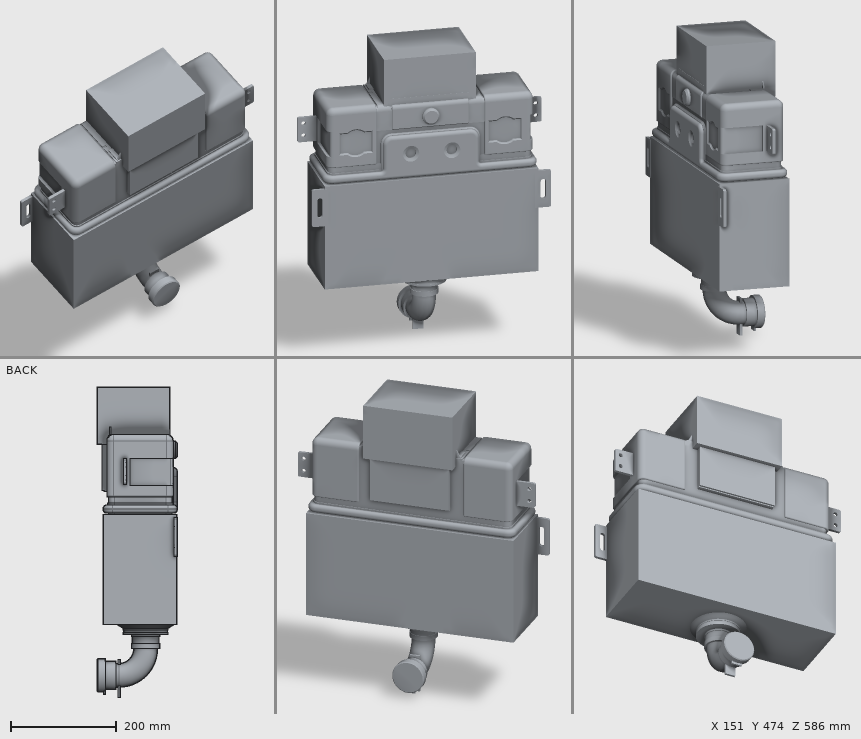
import cadquery as cq


top_z = 586.0
overall_width = 474.0
tank_bottom_z = 138.0
tank_top_z = 346.0
rim_bottom_z = 348.0
rim_top_z = 364.0
head_bottom_z = 378.5
head_top_z = 497.0

tank_back_x = 140.0
tank_front_x = 0.5
tank_half_width = 207.5
rim_corner_radius = 17.5
rim_edge_radius = 7.0

core_front_x = 10.0
core_back_x = 130.0
core_half_width = 197.0
core_corner_radius = 12.0
core_top_z = 445.5
collar_offset = 2.0
collar_top_z = 367.5
recess_front_x = 12.0

head_front_x = 7.5
head_back_x = 133.0
head_outer_y = 200.5
head_inner_y = 105.0
head_radius = 12.5
head_edge_radius = 2.5

bridge_front_x = 7.5
bridge_half_width = 75.0
bridge_top_z = 494.5
bridge_radius = 9.0
bridge_edge_chamfer = 2.0
shoulder_setback = 2.5
shoulder_half_width = 101.5
seam_half_width = 108.0
seam_drop = 2.5
notch_x = 87.0
notch_width = 4.5
notch_length = 7.0
notch_depth = 2.0

box_front_x = 14.0
box_back_x = 151.0
box_half_width = 89.0
box_bottom_z = 478.0
sill_thickness = 0.5
sill_half_width = 78.5
sill_top_z = 506.5
gusset_x = 125.0
gusset_thickness = 3.0
gusset_reach = 7.0
gusset_height = 13.5
gusset_pad_front_x = 99.5
gusset_pad_half_width = 98.0
back_panel_x = 142.5
back_spacer_x = 138.5
back_panel_inset = 2.0
back_panel_bottom_z = 389.0
back_panel_half_width = 78.5

plate_half_width = 92.5
plate_top_z = 434.0
plate_corner_radius = 16.5
backing_front_x = 7.0
backing_margin = 3.5
backing_chamfer = 2.5
plate_foot_radius = 6.0
plate_back_x = 17.5
port_y = 40.0
port_z = 397.5
port_outer_diameter = 31.5
port_diameter = 20.0
port_depth = 7.0
port_sink_depth = 3.0

button_z = 467.5
button_diameter = 33.0
button_chamfer = 3.5

window_y = 145.0
window_z = 425.5
window_width = 65.5
window_height = 44.5
window_bulge_width = 33.5
window_bulge = 6.0
window_depth = 3.0
window_draft = 45

pocket_floor_y = 194.5
pocket_edge_radius = 4.5
pocket_end_x = 89.5
pocket_bottom_z = 401.0
pocket_top_z = 452.0
side_bracket_front_x = 96.0
side_bracket_thickness = 6.0
side_bracket_end_y = overall_width / 2
side_bracket_root_y = 190.0
side_bracket_bottom_z = 402.0
side_bracket_height = 50.0
side_bracket_corner = 3.5
side_hole_y = 225.5
side_hole_z = (415.0, 439.5)
side_hole_diameter = 8.0

tank_bracket_thickness = 6.0
tank_bracket_inner_y = 200.5
tank_bracket_end_y = 232.0
tank_bracket_bottom_z = 266.0
tank_bracket_top_z = 340.5
tank_bracket_corner = 3.5
slot_y = 217.0
slot_length = 40.0
slot_width = 10.0

drain_x = 60.0
drain_cone_diameter = 107.0
drain_ring_diameter = 85.0
drain_cone_bottom_z = 130.5
drain_ring_bottom_z = 119.0
drain_groove_diameter = 83.0
drain_groove_top_z = 128.0
drain_groove_bottom_z = 123.0
drain_lip_diameter = 54.0
drain_lip_bottom_z = 115.5
drain_collar_diameter = 51.0
drain_band_top_z = 102.0
drain_collar_bottom_z = 92.5
pipe_diameter = 45.0
bend_radius = 50.5
outlet_collar_diameter = 54.0
outlet_collar_x = 116.0
outlet_ring_diameter = 63.0
outlet_ring_x = 136.0
outlet_ring_chamfer = 2.0
outlet_tab_thickness = 3.5
outlet_tab_bottom_z = 6.5
outlet_end_x = box_back_x
clip_front_x = 107.0
clip_thickness = 4.5
clip_width = 20.5
clip_top_z = 72.0


def block(x0, x1, y0, y1, z0, z1):
    """Box between two opposite corners."""
    return cq.Workplane("XY").box(x1 - x0, y1 - y0, z1 - z0, centered=False).translate((x0, y0, z0))


def wide_block(x0, x1, half_width, z0, z1):
    """Box symmetric about Y = 0."""
    return block(x0, x1, -half_width, half_width, z0, z1)


def front_plane(x):
    """Sketch plane facing +X: sketch axes are Y and Z."""
    return cq.Workplane("YZ", origin=(x, 0, 0))


def disc(diameter, z_top, z_bottom):
    """Upright cylinder on the drain axis."""
    plane = cq.Workplane("XY", origin=(drain_x, 0, z_bottom))
    return plane.circle(diameter / 2).extrude(z_top - z_bottom)


def both_sides(solid):
    return solid.union(solid.mirror("XZ"))


def make_tank():
    return wide_block(tank_front_x, tank_back_x, tank_half_width, tank_bottom_z, tank_top_z)


def make_rim():
    """Rounded rim with the front plate rising from its middle on a wider backing."""
    rim = wide_block(0, tank_back_x, tank_half_width, rim_bottom_z, rim_top_z)
    rim = rim.edges("|Z").fillet(rim_corner_radius)
    plate = wide_block(0, plate_back_x, plate_half_width, rim_bottom_z, plate_top_z)
    plate = plate.edges("|X and >Z").fillet(plate_corner_radius)
    rim = rim.union(plate)
    for side in (-1, 1):
        foot = cq.selectors.NearestToPointSelector(
            (plate_back_x / 2, side * plate_half_width, rim_top_z)
        )
        rim = rim.edges("|X").edges(foot).fillet(plate_foot_radius)
    rim = rim.faces("<X").edges().fillet(rim_edge_radius)
    backing = wide_block(
        backing_front_x, plate_back_x, plate_half_width + backing_margin,
        rim_bottom_z, plate_top_z + backing_margin,
    )
    backing = backing.edges("|X and >Z").fillet(plate_corner_radius + backing_margin)
    backing = backing.faces("<X").edges("not <Z").chamfer(backing_chamfer)
    return rim.union(backing)


def make_core():
    core = wide_block(core_front_x, core_back_x, core_half_width, tank_top_z, head_bottom_z)
    core = core.edges("|Z").fillet(core_corner_radius)
    collar = wide_block(
        core_front_x - collar_offset, core_back_x + collar_offset, core_half_width + collar_offset,
        rim_bottom_z, collar_top_z,
    )
    collar = collar.edges("|Z").fillet(core_corner_radius + collar_offset)
    recess_wall = wide_block(recess_front_x, core_back_x, head_inner_y, tank_top_z, core_top_z)
    return core.union(collar).union(recess_wall)


def make_window():
    """Rectangle whose top and bottom sides bulge in the middle."""
    half_width = window_width / 2
    half_height = window_height / 2
    half_bulge = window_bulge_width / 2
    outline = (
        front_plane(head_front_x)
        .center(window_y, window_z)
        .moveTo(-half_width, -half_height)
        .lineTo(-half_bulge, -half_height)
        .threePointArc((0, -half_height - window_bulge), (half_bulge, -half_height))
        .lineTo(half_width, -half_height)
        .lineTo(half_width, half_height)
        .lineTo(half_bulge, half_height)
        .threePointArc((0, half_height + window_bulge), (-half_bulge, half_height))
        .lineTo(-half_width, half_height)
        .close()
    )
    return outline.extrude(window_depth, taper=window_draft)


def make_head():
    head = block(head_front_x, head_back_x, head_inner_y, head_outer_y, head_bottom_z, head_top_z)
    head = head.edges("|Z and >Y").fillet(head_radius)
    head = head.faces(">Z").edges("not <Y").fillet(head_radius)
    head = head.faces("<Y or <Z").edges().fillet(head_edge_radius)
    pocket = block(0, pocket_end_x, pocket_floor_y, head_outer_y, pocket_bottom_z, pocket_top_z)
    head = head.cut(pocket)
    floor_edge = cq.selectors.NearestToPointSelector(
        (head_front_x, pocket_floor_y, (pocket_bottom_z + pocket_top_z) / 2)
    )
    head = head.edges("|Z").edges(floor_edge).fillet(pocket_edge_radius)
    return head.cut(make_window())


def make_side_bracket():
    plate = block(
        side_bracket_front_x, side_bracket_front_x + side_bracket_thickness,
        side_bracket_root_y, side_bracket_end_y,
        side_bracket_bottom_z, side_bracket_bottom_z + side_bracket_height,
    )
    plate = plate.edges("|X and >Y").fillet(side_bracket_corner)
    holes = (
        front_plane(side_bracket_front_x)
        .pushPoints([(side_hole_y, z) for z in side_hole_z])
        .circle(side_hole_diameter / 2)
        .extrude(side_bracket_thickness)
    )
    return plate.cut(holes)


def make_tank_bracket():
    plate = block(
        0, tank_bracket_thickness,
        tank_bracket_inner_y, tank_bracket_end_y,
        tank_bracket_bottom_z, tank_bracket_top_z,
    )
    plate = plate.edges("|X and >Y").fillet(tank_bracket_corner)
    slot_z = (tank_bracket_bottom_z + tank_bracket_top_z) / 2
    slot = front_plane(0).center(slot_y, slot_z).slot2D(slot_length, slot_width, 90)
    return plate.cut(slot.extrude(tank_bracket_thickness))


def make_bridge():
    bridge = wide_block(bridge_front_x, core_back_x, bridge_half_width, core_top_z, bridge_top_z)
    bridge = bridge.edges(">Z and <X").fillet(bridge_radius)
    bridge = bridge.faces("<X").edges("not >Z").chamfer(bridge_edge_chamfer)
    shoulder = wide_block(
        bridge_front_x + shoulder_setback, core_back_x, shoulder_half_width,
        core_top_z, bridge_top_z,
    )
    shoulder = shoulder.edges(">Z and <X").fillet(bridge_radius + shoulder_setback)
    notch = block(
        notch_x - notch_width / 2, notch_x + notch_width / 2,
        shoulder_half_width - notch_length, shoulder_half_width,
        bridge_top_z - notch_depth, bridge_top_z,
    )
    seam = wide_block(
        core_front_x, core_back_x, seam_half_width, core_top_z, bridge_top_z - seam_drop
    )
    seam = seam.edges(">Z and <X").fillet(bridge_radius)
    shoulder = shoulder.cut(both_sides(notch)).union(seam)
    button = (
        front_plane(0)
        .center(0, button_z)
        .circle(button_diameter / 2)
        .extrude(core_front_x + bridge_radius)
        .faces("<X").chamfer(button_chamfer)
    )
    return bridge.union(shoulder).union(button)


def make_upper_box():
    box = wide_block(box_front_x, box_back_x, box_half_width, box_bottom_z, top_z)
    sill = wide_block(
        box_front_x - sill_thickness, box_front_x, sill_half_width, box_bottom_z, sill_top_z
    )
    gusset = (
        front_plane(gusset_x)
        .moveTo(box_half_width, bridge_top_z)
        .lineTo(box_half_width + gusset_reach, bridge_top_z)
        .lineTo(box_half_width + gusset_reach, head_top_z)
        .lineTo(box_half_width, head_top_z + gusset_height)
        .close()
        .extrude(gusset_thickness)
    )
    pad = wide_block(
        gusset_pad_front_x, gusset_x + gusset_thickness, gusset_pad_half_width,
        box_bottom_z, head_top_z,
    )
    spacer = wide_block(
        core_back_x, back_spacer_x, back_panel_half_width, back_panel_bottom_z, box_bottom_z
    )
    panel = wide_block(
        back_spacer_x, back_panel_x, back_panel_half_width,
        back_panel_bottom_z + back_panel_inset, box_bottom_z,
    )
    return box.union(sill).union(both_sides(gusset)).union(pad).union(spacer).union(panel)


def make_ports():
    """Countersunk blind holes in the front plate."""
    centers = [(-port_y, port_z), (port_y, port_z)]
    bores = front_plane(0).pushPoints(centers).circle(port_diameter / 2).extrude(port_depth)
    for center in centers:
        sink = (
            front_plane(0)
            .center(*center)
            .circle(port_outer_diameter / 2)
            .workplane(offset=port_sink_depth)
            .circle(port_diameter / 2)
            .loft()
        )
        bores = bores.union(sink)
    return bores


def make_drain():
    cone = (
        cq.Workplane("XY", origin=(drain_x, 0, drain_cone_bottom_z))
        .circle(drain_ring_diameter / 2)
        .workplane(offset=tank_bottom_z - drain_cone_bottom_z)
        .circle(drain_cone_diameter / 2)
        .loft()
    )
    drain = cone.union(disc(drain_ring_diameter, drain_cone_bottom_z, drain_groove_top_z))
    drain = drain.union(disc(drain_groove_diameter, drain_groove_top_z, drain_groove_bottom_z))
    drain = drain.union(disc(drain_ring_diameter, drain_groove_bottom_z, drain_ring_bottom_z))
    drain = drain.union(disc(drain_lip_diameter, drain_ring_bottom_z, drain_lip_bottom_z))
    drain = drain.union(disc(drain_collar_diameter, drain_lip_bottom_z, drain_collar_bottom_z))
    drain = drain.union(disc(drain_lip_diameter, drain_band_top_z, drain_collar_bottom_z))
    elbow = (
        cq.Workplane("XY", origin=(drain_x, 0, drain_collar_bottom_z))
        .circle(pipe_diameter / 2)
        .revolve(90, (bend_radius, 0, 0), (bend_radius, -1, 0))
    )
    return drain.union(elbow)


def make_outlet():
    outlet_z = drain_collar_bottom_z - bend_radius
    bend_end_x = drain_x + bend_radius

    def sleeve(diameter, x0, x1):
        plane = cq.Workplane("YZ", origin=(x0, 0, outlet_z))
        return plane.circle(diameter / 2).extrude(x1 - x0)

    outlet = sleeve(pipe_diameter, bend_end_x, outlet_collar_x)
    outlet = outlet.union(sleeve(outlet_collar_diameter, outlet_collar_x, outlet_ring_x))
    ring = sleeve(outlet_ring_diameter, outlet_ring_x, outlet_end_x)
    outlet = outlet.union(ring.faces(">X").chamfer(outlet_ring_chamfer))
    tab_back_x = outlet_ring_x + outlet_tab_thickness
    tab = wide_block(outlet_ring_x, tab_back_x, clip_width / 2, outlet_tab_bottom_z, outlet_z)
    clip = wide_block(clip_front_x, clip_front_x + clip_thickness, clip_width / 2, 0, clip_top_z)
    return outlet.union(tab).union(clip)


result = (
    make_tank()
    .union(make_core())
    .union(both_sides(make_head()))
    .union(make_bridge())
    .union(make_rim())
    .union(make_upper_box())
    .union(both_sides(make_side_bracket()))
    .union(both_sides(make_tank_bracket()))
    .union(make_drain())
    .union(make_outlet())
    .cut(make_ports())
)